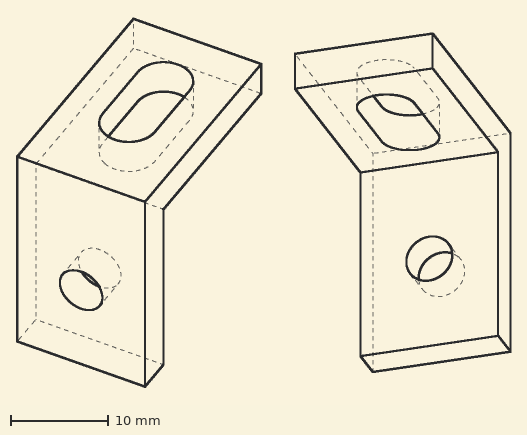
import cadquery as cq

width = 15.0
leg_length = 25.0
thickness = 4.0

hole_diameter = 5.0
hole_height = 10.0

slot_width = 6.1
slot_length = 13.6
slot_setback = 14.0


def make_legs():
    """Vertical leg at the front, horizontal leg running back from its top."""
    vertical = cq.Workplane("XY").box(width, thickness, leg_length, centered=(True, False, False))
    horizontal = (
        cq.Workplane("XY")
        .workplane(offset=leg_length - thickness)
        .box(width, leg_length, thickness, centered=(True, False, False))
    )
    return vertical.union(horizontal)


def make_hole():
    """Round through hole in the vertical leg."""
    return (
        cq.Workplane("XZ")
        .center(0, hole_height)
        .circle(hole_diameter / 2)
        .extrude(-thickness)
    )


def make_slot():
    """Through slot in the horizontal leg, long along Y."""
    return (
        cq.Workplane("XY")
        .workplane(offset=leg_length - thickness)
        .center(0, slot_setback)
        .slot2D(slot_length, slot_width, 90)
        .extrude(thickness)
    )


result = make_legs().cut(make_hole()).cut(make_slot())